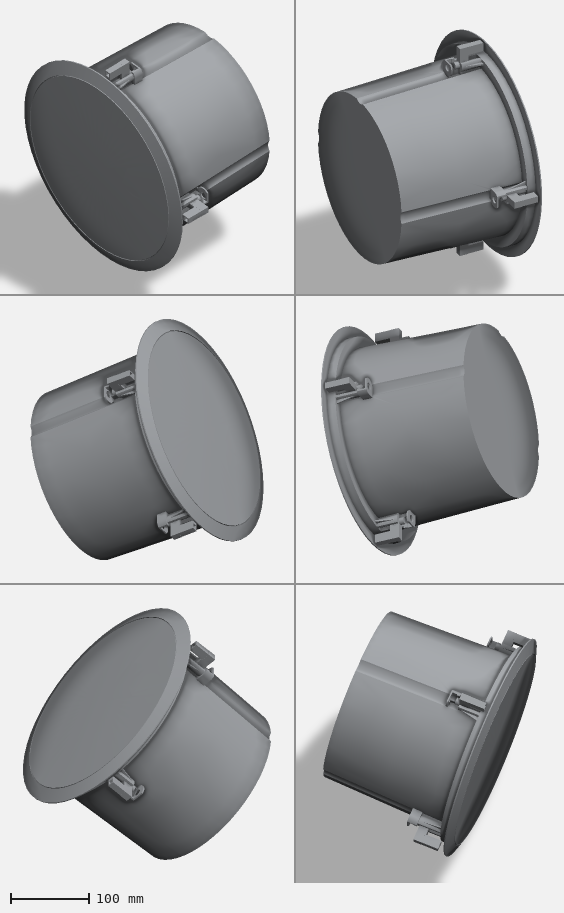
import cadquery as cq
import math


OVERALL_DEPTH = 193.63
OVERALL_WIDTH = 308.9
FRONT_DEPTH = 10.5
BACK_Y = OVERALL_DEPTH - FRONT_DEPTH

CAN_BACK_R = 114.4
CAN_FRONT_R = 119.8
COLLAR_HEIGHT = 11.3
COLLAR_BACK_R = 134.5
COLLAR_FRONT_R = 135.2

FLANGE_R = 150.2
RIM_THICKNESS = 1.6
BEZEL_INNER_R = 132.6
BEZEL_FRONT_Y = -7.9
RECESS_FLOOR_Y = -6.0
GRILLE_GAP = 1.2
GRILLE_R = BEZEL_INNER_R - GRILLE_GAP

STATION_COUNT = 4
CLAMP_AXIS_R = 128.8
ROOT_R = 112.0

GROOVE_HALF_WIDTH = 8.9
GROOVE_DEPTH = 3.2

TOWER_R = 9.7
TOWER_OUTER_R = 133.8
TOWER_TOP_Y = 40.0
TOWER_ROOT_HALF_WIDTH = 5.0
SLOT_HALF_WIDTH = 4.8

CAP_R = 11.4
CAP_OUTER_R = 136.7
CAP_HOLE_R = 5.0
CAP_PLATE_THICKNESS = 2.0
CAP_TOP_Y = 56.3
CAP_PLATE_Y = CAP_TOP_Y - CAP_PLATE_THICKNESS
CAP_WALL_END_Y = 42.9
POCKET_END_Y = 47.5
POCKET_HALF_WIDTH = 6.0
POCKET_FLOOR_R = CLAMP_AXIS_R - POCKET_HALF_WIDTH

RIB_THICKNESS = 2.2
RIB_HEIGHT = 24.8
RIB_OVERLAP = 1.0
RIB_REACH = 14.8

CLAMP_TIP_R = OVERALL_WIDTH / 2
CLAMP_WIDTH = 9.1
HUB_R = 4.7
HUB_TOP_Y = 46.5
ARM_TOP_Y = 40.3
ARM_HEIGHT = 11.7
WEB_HEIGHT = 1.2
SHOULDER = 0.2
LEG_THICKNESS = 12.2
LEG_END_Y = 6.2
TIP_POCKET_SIZE = 6.0
TIP_POCKET_WALL = 2.0
TIP_POCKET_DEPTH = 10.0

SCREW_R = 2.2
SCREW_HOLE_DEPTH = 8.0


def plane_at(y):
    """Workplane across the can axis, with local x = X, local y = Z and extrusion towards -Y."""
    return cq.Workplane("XZ", origin=(0, y, 0))


def block(x_min, x_max, y_min, y_max, z_min, z_max):
    size = (x_max - x_min, y_max - y_min, z_max - z_min)
    return cq.Workplane("XY").box(*size, centered=False).translate((x_min, y_min, z_min))


def rod(radius, y_min, y_max):
    """Cylinder on the screw axis of the +Z station."""
    return plane_at(y_max).center(0, CLAMP_AXIS_R).circle(radius).extrude(y_max - y_min)


def flat_sided_rod(radius, outer_r, y_min, y_max):
    """Cylinder on the clamp screw axis, cut flat on the side away from the can."""
    bounds = block(-radius, radius, y_min, y_max, ROOT_R, outer_r)
    return rod(radius, y_min, y_max).intersect(bounds)


def at_station(shape, index):
    return shape.rotate((0, 0, 0), (0, 1, 0), index * 360 / STATION_COUNT)


def make_shell():
    """Tapered can, collar and flange as one turned solid with a recess for the grille."""
    return (
        cq.Workplane("XY")
        .moveTo(0, RECESS_FLOOR_Y)
        .lineTo(BEZEL_INNER_R, RECESS_FLOOR_Y)
        .lineTo(BEZEL_INNER_R, BEZEL_FRONT_Y)
        .lineTo(FLANGE_R, -RIM_THICKNESS)
        .lineTo(FLANGE_R, 0)
        .lineTo(COLLAR_FRONT_R, 0)
        .lineTo(COLLAR_BACK_R, COLLAR_HEIGHT)
        .lineTo(CAN_FRONT_R, COLLAR_HEIGHT)
        .lineTo(CAN_BACK_R, BACK_Y)
        .lineTo(0, BACK_Y)
        .close()
        .revolve(360, (0, 0, 0), (0, 1, 0))
    )


def make_groove_cutter():
    """Cylinder laid parallel to the can wall, so the groove keeps its width and depth."""
    radius = (GROOVE_HALF_WIDTH**2 + GROOVE_DEPTH**2) / (2 * GROOVE_DEPTH)
    can_length = BACK_Y - COLLAR_HEIGHT
    taper = math.degrees(math.atan2(CAN_FRONT_R - CAN_BACK_R, can_length))
    axis_r = CAN_FRONT_R - GROOVE_DEPTH + radius
    overrun = 5.0
    cutter = plane_at(BACK_Y + overrun).center(0, axis_r).circle(radius).extrude(can_length + overrun)
    pivot = (0, COLLAR_HEIGHT, axis_r)
    tilted = cutter.rotate(pivot, (1, COLLAR_HEIGHT, axis_r), -taper)
    return tilted.intersect(block(-radius, radius, COLLAR_HEIGHT, BACK_Y + overrun, 0, CAP_OUTER_R))


def make_tower():
    """Guide tower with its capped stop wall and ribs, for the +Z station."""
    tower = flat_sided_rod(TOWER_R, TOWER_OUTER_R, COLLAR_HEIGHT, CAP_TOP_Y)
    cap = flat_sided_rod(CAP_R, CAP_OUTER_R, CAP_WALL_END_Y, CAP_TOP_Y)
    tower_root = block(
        -TOWER_ROOT_HALF_WIDTH, TOWER_ROOT_HALF_WIDTH, COLLAR_HEIGHT, CAP_TOP_Y, ROOT_R, CLAMP_AXIS_R
    )
    stop_wall_root = block(0, CAP_R, CAP_WALL_END_Y, CAP_TOP_Y, ROOT_R, CLAMP_AXIS_R)
    body = tower.union(cap).union(tower_root).union(stop_wall_root)

    body = body.cut(block(-CAP_R, 0, TOWER_TOP_Y, CAP_PLATE_Y, ROOT_R, CAP_OUTER_R))

    pocket = block(
        -CAP_R, POCKET_HALF_WIDTH, POCKET_END_Y, CAP_PLATE_Y, POCKET_FLOOR_R, CAP_OUTER_R
    )
    body = body.cut(pocket.edges("|Y and >X and <Z").fillet(POCKET_HALF_WIDTH))

    slot = block(
        -SLOT_HALF_WIDTH, SLOT_HALF_WIDTH, COLLAR_HEIGHT, POCKET_END_Y, CLAMP_AXIS_R, CAP_OUTER_R
    )
    body = body.cut(slot.union(rod(SLOT_HALF_WIDTH, COLLAR_HEIGHT, POCKET_END_Y)))

    body = body.cut(rod(CAP_HOLE_R, CAP_PLATE_Y, CAP_TOP_Y))
    return body.union(make_rib(1)).union(make_rib(-1))


def make_rib(side):
    """Triangular rib between the collar and one flank of the tower."""
    root_x = TOWER_R - RIB_OVERLAP
    corners = [
        (side * root_x, COLLAR_HEIGHT),
        (side * RIB_REACH, COLLAR_HEIGHT),
        (side * TOWER_R, COLLAR_HEIGHT + RIB_HEIGHT),
        (side * root_x, COLLAR_HEIGHT + RIB_HEIGHT),
    ]
    base = cq.Workplane("XY", origin=(0, 0, CLAMP_AXIS_R - RIB_THICKNESS / 2))
    return base.polyline(corners).close().extrude(RIB_THICKNESS)


def make_housing():
    housing = make_shell()
    groove = make_groove_cutter()
    tower = make_tower()
    screw_hole = rod(SCREW_R, COLLAR_HEIGHT - SCREW_HOLE_DEPTH, COLLAR_HEIGHT)
    for index in range(STATION_COUNT):
        housing = housing.cut(at_station(groove, index))
        housing = housing.union(at_station(tower, index))
        housing = housing.cut(at_station(screw_hole, index))
    return housing


def make_grille():
    """Shallow domed disc seated in the flange recess."""
    half_chord = GRILLE_R / 2
    sagitta = FRONT_DEPTH + BEZEL_FRONT_Y
    dome_r = (GRILLE_R**2 + sagitta**2) / (2 * sagitta)
    mid_y = -FRONT_DEPTH + dome_r - math.sqrt(dome_r**2 - half_chord**2)
    return (
        cq.Workplane("XY")
        .moveTo(0, RECESS_FLOOR_Y)
        .lineTo(GRILLE_R, RECESS_FLOOR_Y)
        .lineTo(GRILLE_R, BEZEL_FRONT_Y)
        .threePointArc((half_chord, mid_y), (0, -FRONT_DEPTH))
        .close()
        .revolve(360, (0, 0, 0), (0, 1, 0))
    )


def make_clamp():
    """L-shaped clamp with a round hub on the screw, for the +Z station."""
    half_width = CLAMP_WIDTH / 2
    inset_half_width = half_width - SHOULDER
    leg_outer_r = CLAMP_TIP_R - SHOULDER
    leg_inner_r = CLAMP_TIP_R - LEG_THICKNESS
    arm_bottom_y = ARM_TOP_Y - ARM_HEIGHT
    web_bottom_y = arm_bottom_y - WEB_HEIGHT
    arm = block(-half_width, half_width, arm_bottom_y, ARM_TOP_Y, CLAMP_AXIS_R, CLAMP_TIP_R)
    web = block(
        -inset_half_width, inset_half_width, web_bottom_y, arm_bottom_y, CLAMP_AXIS_R, leg_outer_r
    )
    leg = block(
        -inset_half_width, inset_half_width, LEG_END_Y, arm_bottom_y, leg_inner_r, leg_outer_r
    )
    pocket_top_r = CLAMP_TIP_R - TIP_POCKET_WALL
    tip_pocket = block(
        -TIP_POCKET_SIZE / 2, TIP_POCKET_SIZE / 2,
        LEG_END_Y, LEG_END_Y + TIP_POCKET_DEPTH,
        pocket_top_r - TIP_POCKET_SIZE, pocket_top_r,
    )
    clamp = arm.union(web).union(leg).union(rod(HUB_R, web_bottom_y, HUB_TOP_Y))
    return clamp.cut(tip_pocket).cut(rod(SCREW_R, web_bottom_y, HUB_TOP_Y))


def make_screw():
    return rod(SCREW_R, COLLAR_HEIGHT - SCREW_HOLE_DEPTH, HUB_TOP_Y)


housing = make_housing()
grille = make_grille()
clamps = [at_station(make_clamp(), index) for index in range(STATION_COUNT)]
screws = [at_station(make_screw(), index) for index in range(STATION_COUNT)]

result = cq.Compound.makeCompound(
    [
        housing.val(),
        grille.val(),
        *[clamp.val() for clamp in clamps],
        *[screw.val() for screw in screws],
    ]
)